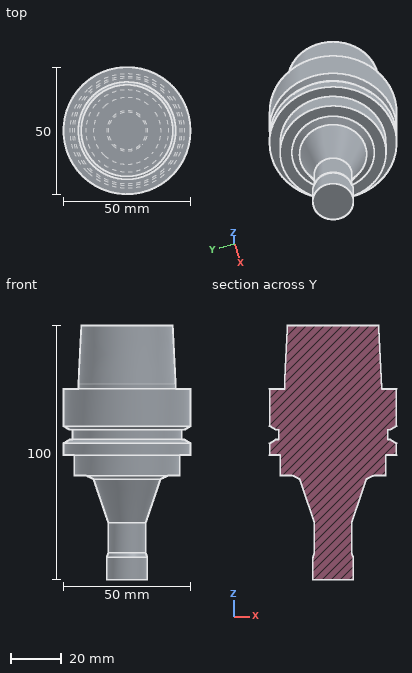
import cadquery as cq

tip_diameter = 16.0
neck_diameter = 14.8
cone_top_diameter = 26.4
flare_top_diameter = 32.4
collar_diameter = 41.6
flange_diameter = 50.0
groove_diameter = 43.0
groove_mouth_diameter = 45.0
shank_diameter = 38.3
shank_top_diameter = 36.0

tip_top = 9.0
neck_bottom = 10.7
neck_top = 22.5
cone_top = 39.6
collar_bottom = 41.0
flange_bottom = 49.0
lower_rim_top = 53.7
groove_bottom = 55.2
groove_top = 58.9
upper_rim_bottom = 60.4
flange_top = 75.0
taper_bottom = 77.0
total_height = 100.0

section = [
    (0, 0),
    (tip_diameter, 0),
    (tip_diameter, tip_top),
    (neck_diameter, neck_bottom),
    (neck_diameter, neck_top),
    (cone_top_diameter, cone_top),
    (flare_top_diameter, collar_bottom),
    (collar_diameter, collar_bottom),
    (collar_diameter, flange_bottom),
    (flange_diameter, flange_bottom),
    (flange_diameter, lower_rim_top),
    (groove_mouth_diameter, groove_bottom),
    (groove_diameter, groove_bottom),
    (groove_diameter, groove_top),
    (groove_mouth_diameter, groove_top),
    (flange_diameter, upper_rim_bottom),
    (flange_diameter, flange_top),
    (shank_diameter, flange_top),
    (shank_diameter, taper_bottom),
    (shank_top_diameter, total_height),
    (0, total_height),
]

result = (
    cq.Workplane("XZ")
    .polyline([(diameter / 2, height) for diameter, height in section])
    .close()
    .revolve(360, (0, 0, 0), (0, 1, 0))
)